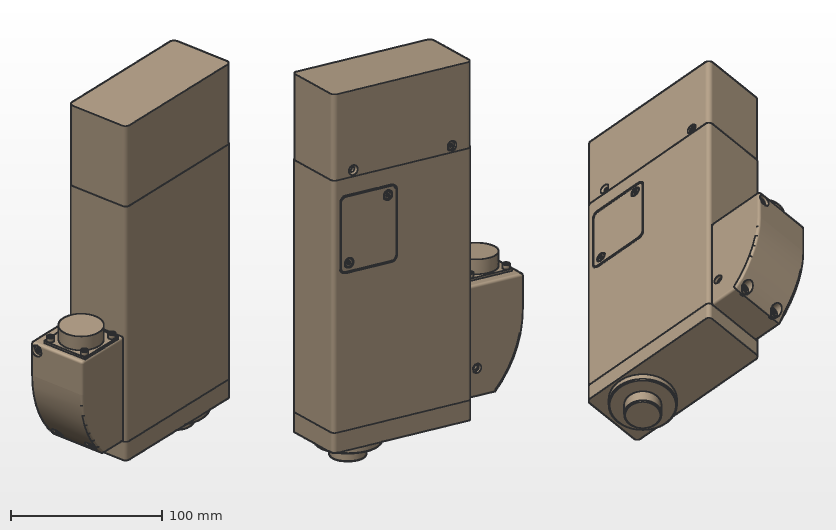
import cadquery as cq
import math


total_height = 270.0
width = 49.0
depth = 110.2
back_y = 27.8
front_y = back_y - depth
left_x = -width / 2
base_bottom_z = 15.0
base_top_z = 29.5
cap_bottom_z = 208.7
housing_corner_radius = 3.0
cap_corner_radius = 3.5

collar_diameter = 45.4
collar_height = 5.5
nose_diameter = 24.8
nose_chamfer = 0.8

small_head_diameter = 5.5
small_socket_diameter = 2.5
small_bore_diameter = 7.0
large_head_diameter = 6.5
large_socket_diameter = 3.8
large_bore_diameter = 8.0
socket_depth = 1.4
bore_depth = 5.5
overlap = 0.5

cap_screw_z = 213.3
cap_screw_inset = 16.0
cap_screw_recess = 1.0
countersink_depth = 1.5
pilot_diameter = 3.8
pilot_depth = 2.7
pilot_tip_depth = 1.4

panel_width = 45.4
panel_height = 55.0
panel_radius = 4.5
panel_back_inset = 5.5
panel_bottom_z = 141.2
panel_gap = 0.8
panel_gap_depth = 1.0
panel_center_y = back_y - panel_back_inset - panel_width / 2
panel_center_z = panel_bottom_z + panel_height / 2
panel_screw_spacing_y = 30.8
panel_screw_spacing_z = 41.3
panel_screw_recess = 0.3

box_width = 44.0
box_reach = 43.0
box_top_z = 109.0
box_curve_top_z = 83.7
box_bottom_reach = 20.8
box_edge_radius = 2.0
box_front_y = front_y - box_reach
box_upper_screw_x = -17.0
box_upper_screw_z = 103.7
box_lower_screw_x = 14.0
box_lower_screw_z = 34.0
box_screw_recess = 2.2
side_hole_diameter = 6.5
side_hole_depth = 2.7
side_hole_inset = 5.7
side_hole_z = 49.7

curve_inset = box_reach - box_bottom_reach
curve_drop = box_curve_top_z - base_top_z
curve_radius = (curve_inset**2 + curve_drop**2) / (2 * curve_inset)

connector_x = 3.5
connector_y = front_y - 21.5
connector_plate_size = 34.8
connector_plate_thickness = 1.5
connector_diameter = 30.2
connector_top_z = 121.2
connector_screw_spacing = 29.0
connector_head_diameter = 5.0
connector_socket_diameter = 3.0
connector_head_height = 3.5
connector_head_chamfer = 0.5


def curve_y(z):
    """Y of the curved box front at height z."""
    drop = box_curve_top_z - z
    return box_front_y + curve_radius - math.sqrt(curve_radius**2 - drop**2)


def rounded_block(bottom_z, top_z, corner_radius):
    """Slice of the housing stack with rounded vertical edges."""
    return (
        cq.Workplane("XY", origin=(0, back_y - depth / 2, bottom_z))
        .rect(width, depth)
        .extrude(top_z - bottom_z)
        .edges("|Z")
        .fillet(corner_radius)
    )


def plane_at(point, outward):
    """Workplane at a point, with its normal along the outward direction."""
    return cq.Workplane(cq.Plane(origin=point, xDir=cross_direction(outward), normal=outward))


def cross_direction(outward):
    """Axis direction at right angles to the outward direction."""
    return (0, 1, 0) if outward[0] else (1, 0, 0)


def screw_head(point, outward, diameter, socket_diameter, height, chamfer=0):
    """Screw head with a hexagon socket, standing on a point."""
    plane = plane_at(point, outward)
    head = plane.workplane(offset=-overlap).circle(diameter / 2).extrude(height + overlap)
    socket = plane.workplane(offset=height - socket_depth).polygon(6, socket_diameter).extrude(height)
    if chamfer:
        head = head.faces(cq.selectors.DirectionMinMaxSelector(cq.Vector(outward), True)).chamfer(chamfer)
    return head.cut(socket)


def add_sunk_screw(body, point, outward, recess, large=False):
    """Bore at a surface point, with a screw head that ends the recess below the surface."""
    head_diameter = large_head_diameter if large else small_head_diameter
    socket_diameter = large_socket_diameter if large else small_socket_diameter
    bore_diameter = large_bore_diameter if large else small_bore_diameter
    floor = tuple(c - bore_depth * part for c, part in zip(point, outward))
    bore = plane_at(floor, outward).circle(bore_diameter / 2).extrude(2 * bore_depth)
    head = screw_head(floor, outward, head_diameter, socket_diameter, bore_depth - recess)
    return body.cut(bore).union(head)


def countersunk_hole(point):
    """Cutter for a countersunk hole with a conical tip, entering along +X."""
    pilot_end = countersink_depth + pilot_depth
    return (
        cq.Workplane("XY", origin=point)
        .lineTo(0, small_bore_diameter / 2)
        .lineTo(countersink_depth, pilot_diameter / 2)
        .lineTo(pilot_end, pilot_diameter / 2)
        .lineTo(pilot_end + pilot_tip_depth, 0)
        .close()
        .revolve(360, (0, 0), (1, 0))
    )


def make_cap():
    cap = rounded_block(cap_bottom_z, total_height, cap_corner_radius)
    screw_point = (left_x, front_y + cap_screw_inset, cap_screw_z)
    hole_point = (left_x, back_y - cap_screw_inset, cap_screw_z)
    cap = add_sunk_screw(cap, screw_point, (-1, 0, 0), cap_screw_recess)
    return cap.cut(countersunk_hole(hole_point))


def panel_outline(inset):
    """Rounded rectangle of the access panel, cut into the side."""
    return (
        cq.Workplane("YZ", origin=(left_x, panel_center_y, panel_center_z))
        .rect(panel_width - 2 * inset, panel_height - 2 * inset)
        .extrude(panel_gap_depth)
        .edges("|X")
        .fillet(panel_radius - inset)
    )


def add_access_panel(body):
    body = body.cut(panel_outline(0).cut(panel_outline(panel_gap)))
    for side in (-1, 1):
        y = panel_center_y + side * panel_screw_spacing_y / 2
        z = panel_center_z - side * panel_screw_spacing_z / 2
        body = add_sunk_screw(body, (left_x, y, z), (-1, 0, 0), panel_screw_recess)
    return body


def make_box():
    middle_z = (box_curve_top_z + base_top_z) / 2
    box = (
        cq.Workplane("YZ", origin=(-box_width / 2, 0, 0))
        .moveTo(front_y, base_top_z)
        .lineTo(front_y, box_top_z)
        .lineTo(box_front_y, box_top_z)
        .lineTo(box_front_y, box_curve_top_z)
        .threePointArc((curve_y(middle_z), middle_z), (front_y - box_bottom_reach, base_top_z))
        .close()
        .extrude(box_width)
    )
    side_edges = box.faces("<X or >X").edges("not(>Y)")
    top_front_edge = box.faces(">Z").edges("<Y")
    box = side_edges.add(top_front_edge).fillet(box_edge_radius)

    toward_front = (0, -1, 0)
    upper_point = (box_upper_screw_x, box_front_y, box_upper_screw_z)
    box = add_sunk_screw(box, upper_point, toward_front, box_screw_recess, large=True)
    for x in (-box_lower_screw_x, box_lower_screw_x):
        point = (x, curve_y(box_lower_screw_z), box_lower_screw_z)
        box = add_sunk_screw(box, point, toward_front, box_screw_recess, large=True)

    side_point = (-box_width / 2, front_y - side_hole_inset, side_hole_z)
    side_plane = plane_at(side_point, (-1, 0, 0))
    side_hole = side_plane.circle(side_hole_diameter / 2).extrude(-side_hole_depth)
    pilot = side_plane.circle(pilot_diameter / 2).extrude(-side_hole_depth - pilot_depth)
    return box.cut(side_hole).cut(pilot)


def make_connector():
    plate_top_z = box_top_z + connector_plate_thickness
    base_plane = cq.Workplane("XY", origin=(connector_x, connector_y, box_top_z))
    plate = base_plane.rect(connector_plate_size, connector_plate_size).extrude(connector_plate_thickness)
    plug = base_plane.circle(connector_diameter / 2).extrude(connector_top_z - box_top_z)
    connector = plate.union(plug)
    for side_x in (-1, 1):
        for side_y in (-1, 1):
            x = connector_x + side_x * connector_screw_spacing / 2
            y = connector_y + side_y * connector_screw_spacing / 2
            head = screw_head(
                (x, y, plate_top_z),
                (0, 0, 1),
                connector_head_diameter,
                connector_socket_diameter,
                connector_head_height,
                connector_head_chamfer,
            )
            connector = connector.union(head)
    return connector


def make_housing():
    housing = rounded_block(base_top_z, cap_bottom_z, housing_corner_radius)
    housing = add_access_panel(housing)
    return housing.union(make_box()).union(make_connector())


def make_base():
    base = rounded_block(base_bottom_z, base_top_z, housing_corner_radius)
    collar = (
        cq.Workplane("XY", origin=(0, 0, base_bottom_z))
        .circle(collar_diameter / 2)
        .extrude(-collar_height)
        .faces("<Z")
        .chamfer(nose_chamfer)
    )
    nose = (
        cq.Workplane("XY")
        .circle(nose_diameter / 2)
        .extrude(base_bottom_z)
        .faces("<Z")
        .chamfer(nose_chamfer)
    )
    return base.union(collar).union(nose)


cap = make_cap()
housing = make_housing()
base = make_base()

result = cq.Compound.makeCompound([cap.solids().val(), housing.solids().val(), base.solids().val()])